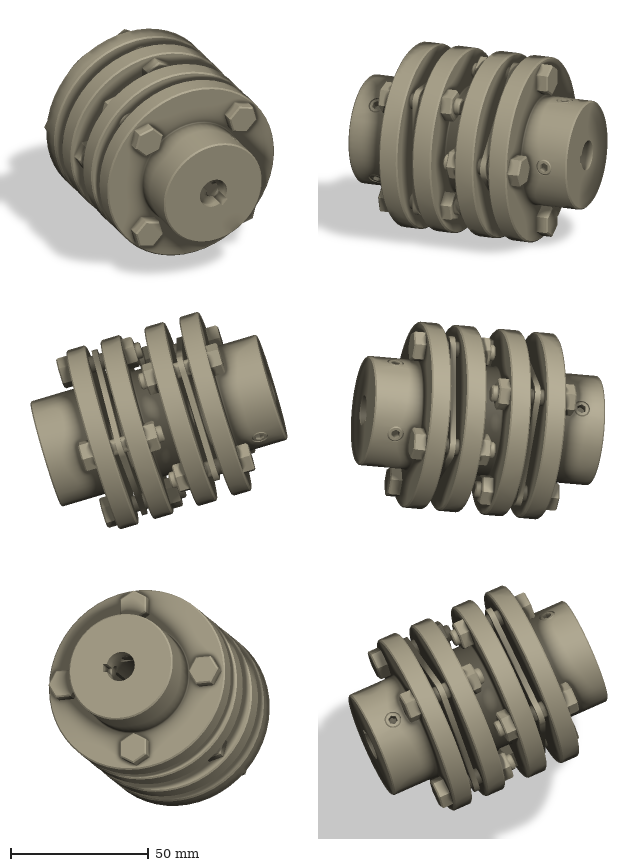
import cadquery as cq
import math


total_length = 86.0
hub_length = 17.9
hub_flange_thickness = 7.2
flange_gap = 5.85
spacer_flange_thickness = 7.4
disc_thickness = 2.1

flange_diameter = 68.0
hub_diameter = 40.0
bore_diameter = 11.0
edge_chamfer = 0.5
root_fillet = 0.5

key_width = 3.0
key_reach = 6.8

bolt_count = 4
bolt_circle_radius = 27.0
bolt_diameter = 6.0
hex_sides = 6
hex_across_flats = 10.0
head_height = 4.3
nut_height = 4.0
bolt_end_reach = 6.2
hex_chamfer = 0.5

disc_corner_radius = 4.8

screw_diameter = 6.0
screw_from_hub_end = 8.9
screw_sink = 0.2
screw_tip_gap = 0.1
screw_socket_width = 3.0
screw_socket_depth = 3.0
screw_chamfer = 0.5

hub_end = -total_length / 2
hub_flange_start = hub_end + hub_length
hub_flange_end = hub_flange_start + hub_flange_thickness
spacer_flange_start = hub_flange_end + flange_gap
spacer_flange_end = spacer_flange_start + spacer_flange_thickness
disc_start = hub_flange_end + (flange_gap - disc_thickness) / 2
bolt_end = spacer_flange_end + bolt_end_reach

bolt_pitch_angle = 360 / bolt_count
tolerance = 0.001
end_turn_angle = bolt_pitch_angle / 2


def section_at(x):
    """Sketch plane across the axis at x; its local axes are Y and Z."""
    return cq.Workplane("YZ", origin=(x, 0, 0))


def cylinder(start, end, diameter):
    return section_at(start).circle(diameter / 2).extrude(end - start)


def hexagon_diameter(across_flats):
    return across_flats / math.cos(math.pi / hex_sides)


def flange(start, end):
    return cylinder(start, end, flange_diameter).edges().chamfer(edge_chamfer)


def fillet_root(body, root_x):
    """Round the inner corner where a hub or tube meets its flange face at root_x."""
    def is_root(edge):
        at_root = math.isclose(edge.Center().x, root_x, abs_tol=tolerance)
        return at_root and math.isclose(2 * edge.radius(), hub_diameter, abs_tol=tolerance)

    return body.edges("%CIRCLE").filter(is_root).fillet(root_fillet)


def hub_with_flange():
    hub = cylinder(hub_end, hub_flange_start, hub_diameter)
    hub = hub.faces("<X").edges().chamfer(edge_chamfer)
    body = hub.union(flange(hub_flange_start, hub_flange_end))
    return fillet_root(body, hub_flange_start)


def spacer():
    body = cylinder(spacer_flange_end, -spacer_flange_end, hub_diameter)
    body = body.union(flange(spacer_flange_start, spacer_flange_end))
    body = body.union(flange(-spacer_flange_end, -spacer_flange_start))
    body = fillet_root(body, spacer_flange_end)
    body = fillet_root(body, -spacer_flange_end)
    return body.cut(cylinder(spacer_flange_start, -spacer_flange_start, bore_diameter))


def disc_pack():
    square_half_width = bolt_circle_radius * math.cos(math.pi / bolt_count)
    opening_radius = square_half_width - disc_corner_radius
    return (
        section_at(disc_start)
        .polygon(bolt_count, 2 * bolt_circle_radius)
        .offset2D(disc_corner_radius, "arc")
        .extrude(disc_thickness)
        .cut(cylinder(disc_start, disc_start + disc_thickness, 2 * opening_radius))
    )


def hex_prism(start, height):
    """Hexagonal prism around the +Y bolt centre with two corners pointing along the radius."""
    return (
        section_at(start)
        .center(bolt_circle_radius, 0)
        .polygon(hex_sides, hexagon_diameter(hex_across_flats))
        .extrude(height)
    )


def bolt_with_nut():
    head = hex_prism(hub_flange_start - head_height, head_height)
    head = head.faces("<X").edges().chamfer(hex_chamfer)
    nut = hex_prism(spacer_flange_end, nut_height)
    nut = nut.faces(">X").edges().chamfer(hex_chamfer)
    shank = (
        section_at(hub_flange_start)
        .center(bolt_circle_radius, 0)
        .circle(bolt_diameter / 2)
        .extrude(bolt_end - hub_flange_start)
        .faces(">X")
        .edges()
        .chamfer(edge_chamfer)
    )
    return shank.union(head).union(nut)


def keyway():
    return (
        section_at(hub_end)
        .center(key_reach / 2, 0)
        .rect(key_reach, key_width)
        .extrude(hub_flange_end - hub_end)
    )


def screw_hole():
    return (
        cq.Workplane("XY")
        .center(hub_end + screw_from_hub_end, 0)
        .circle(screw_diameter / 2)
        .extrude(hub_diameter / 2)
    )


def set_screw():
    tip = bore_diameter / 2 + screw_tip_gap
    top = hub_diameter / 2 - screw_sink
    body = (
        cq.Workplane("XY", origin=(hub_end + screw_from_hub_end, 0, tip))
        .circle(screw_diameter / 2)
        .extrude(top - tip)
        .edges()
        .chamfer(screw_chamfer)
    )
    socket = (
        cq.Workplane("XY", origin=(hub_end + screw_from_hub_end, 0, top - screw_socket_depth))
        .transformed(rotate=(0, 0, 180 / hex_sides))
        .polygon(hex_sides, hexagon_diameter(screw_socket_width))
        .extrude(screw_socket_depth)
    )
    return body.cut(socket)


def turn(shape, angle):
    return shape.rotate((0, 0, 0), (1, 0, 0), angle)


def coupling_end():
    """Hub with its key and set screws, disc pack and bolts."""
    body = hub_with_flange()
    body = body.cut(cylinder(hub_end, hub_flange_end, bore_diameter)).cut(keyway())
    for angle in (0, -90):
        body = body.cut(turn(screw_hole(), angle))
        body = body.union(turn(set_screw(), angle))
    body = body.union(disc_pack())
    for index in range(bolt_count):
        body = body.union(turn(bolt_with_nut(), index * bolt_pitch_angle))
    return body


first_end = coupling_end()
second_end = turn(first_end.mirror("YZ"), -end_turn_angle)
result = spacer().union(first_end).union(second_end)